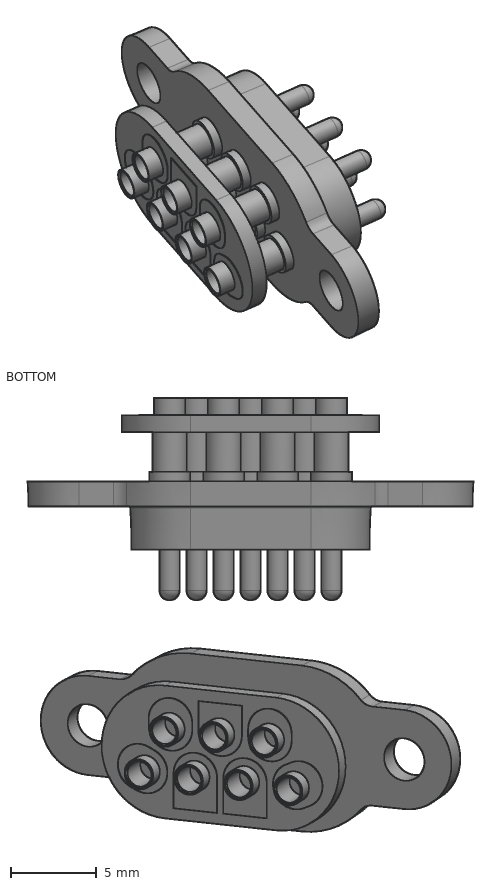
import cadquery as cq
import math


FLANGE_BACK = 1.48
BOSS_BACK = 4.0
TIP_BACK = 6.95
COLLAR_FRONT = -0.55
BOARD_BACK = -2.85
BOARD_THICKNESS = 1.0
BOARD_FRONT = BOARD_BACK - BOARD_THICKNESS
TAIL_FRONT = -4.85

TOTAL_LENGTH = 26
EAR_RADIUS = 3.0
EAR_X = TOTAL_LENGTH / 2 - EAR_RADIUS
SCREW_HOLE_DIAMETER = 2.55
ARC_CENTRE_X = 3.5
FLANGE_HEIGHT = 10.0
FLANGE_RADIUS = FLANGE_HEIGHT / 2
EAR_BLEND_RADIUS = 1.0
BOSS_RADIUS = 3.5
DRAFT = 1.5
EDGE_ROUND = 0.08
ROOT_ROUND = 0.05

BOARD_RADIUS = 4.0

PIN_PITCH = 3.15
BOTTOM_ROW_Z = -1.22
TOP_ROW_Z = BOTTOM_ROW_Z + PIN_PITCH * math.sin(math.radians(60))
TOP_ROW_X = [-PIN_PITCH, 0, PIN_PITCH]
BOTTOM_ROW_X = [-1.5 * PIN_PITCH, -0.5 * PIN_PITCH, 0.5 * PIN_PITCH, 1.5 * PIN_PITCH]
PIN_PLACES = [(x, TOP_ROW_Z) for x in TOP_ROW_X] + [(x, BOTTOM_ROW_Z) for x in BOTTOM_ROW_X]

TIP_RADIUS = 0.6
COLLAR_RADIUS = 1.2
BARREL_DIAMETER = 2.0
BARREL_RADIUS = BARREL_DIAMETER / 2
TAIL_RADIUS = 0.9
CUP_RADIUS = 0.75
CUP_CHAMFER = 0.08
CUP_DEPTH = 2.0

PAD_RADIUS = 1.38
PAD_HEIGHT = 0.035
PAD_STRETCH = 0.42
OUTER_PAD_ANGLE = 25
TOP_PAD_REACH = 1.8
BOTTOM_PAD_REACH = 2.1


def plane_at(y):
    """Sketch plane at station y, with local x along X, local y along Z and its normal toward -Y."""
    return cq.Workplane("XZ", origin=(0, y, 0))


def obround(y, radius):
    """Outline of two half circles around the arc centres joined by straight lines."""
    return plane_at(y).slot2D(2 * (ARC_CENTRE_X + radius), 2 * radius)


def flange_profile():
    """Half circles of the body and the ears, joined by tangent concave blends."""
    blend_z = EAR_RADIUS + EAR_BLEND_RADIUS
    centre_gap = FLANGE_RADIUS + EAR_BLEND_RADIUS
    blend_dx = math.sqrt(centre_gap**2 - blend_z**2)
    blend_x = ARC_CENTRE_X + blend_dx
    join_angle = math.atan2(blend_z, blend_dx)
    join = (
        ARC_CENTRE_X + FLANGE_RADIUS * math.cos(join_angle),
        FLANGE_RADIUS * math.sin(join_angle),
    )
    mid_angle = (math.pi / 2 + join_angle) / 2
    shoulder = (
        ARC_CENTRE_X + FLANGE_RADIUS * math.cos(mid_angle),
        FLANGE_RADIUS * math.sin(mid_angle),
    )
    blend_mid = (
        blend_x - EAR_BLEND_RADIUS * math.cos(mid_angle),
        blend_z - EAR_BLEND_RADIUS * math.sin(mid_angle),
    )

    def at(point, sx, sz):
        """Mirror image of point across the axes whose sign is negative."""
        return (sx * point[0], sz * point[1])

    ear = (blend_x, EAR_RADIUS)
    ear_end = (EAR_X, EAR_RADIUS)
    body = (ARC_CENTRE_X, FLANGE_RADIUS)
    return (
        plane_at(0)
        .moveTo(*at(body, -1, 1))
        .lineTo(*body)
        .threePointArc(shoulder, join)
        .threePointArc(blend_mid, ear)
        .lineTo(*ear_end)
        .threePointArc((EAR_X + EAR_RADIUS, 0), at(ear_end, 1, -1))
        .lineTo(*at(ear, 1, -1))
        .threePointArc(at(blend_mid, 1, -1), at(join, 1, -1))
        .threePointArc(at(shoulder, 1, -1), at(body, 1, -1))
        .lineTo(*at(body, -1, -1))
        .threePointArc(at(shoulder, -1, -1), at(join, -1, -1))
        .threePointArc(at(blend_mid, -1, -1), at(ear, -1, -1))
        .lineTo(*at(ear_end, -1, -1))
        .threePointArc((-EAR_X - EAR_RADIUS, 0), at(ear_end, -1, 1))
        .lineTo(*at(ear, -1, 1))
        .threePointArc(at(blend_mid, -1, 1), at(join, -1, 1))
        .threePointArc(at(shoulder, -1, 1), at(body, -1, 1))
        .close()
    )


def make_pin():
    """Turned pin on the Y axis: round tip, body, collar, barrel and a tail with a solder cup."""
    dome = TIP_RADIUS * math.sqrt(0.5)
    profile = (
        cq.Workplane("XY")
        .moveTo(0, TIP_BACK)
        .threePointArc((dome, TIP_BACK - TIP_RADIUS + dome), (TIP_RADIUS, TIP_BACK - TIP_RADIUS))
        .lineTo(TIP_RADIUS, 0)
        .lineTo(COLLAR_RADIUS, 0)
        .lineTo(COLLAR_RADIUS, COLLAR_FRONT)
        .lineTo(BARREL_RADIUS, COLLAR_FRONT)
        .lineTo(BARREL_RADIUS, BOARD_BACK)
        .lineTo(TAIL_RADIUS, BOARD_BACK)
        .lineTo(TAIL_RADIUS, TAIL_FRONT)
        .lineTo(CUP_RADIUS + CUP_CHAMFER, TAIL_FRONT)
        .lineTo(CUP_RADIUS, TAIL_FRONT + CUP_CHAMFER)
        .lineTo(CUP_RADIUS, TAIL_FRONT + CUP_DEPTH)
        .lineTo(0, TAIL_FRONT + CUP_DEPTH)
        .close()
    )
    return profile.revolve(360, (0, 0, 0), (0, 1, 0))


def make_housing():
    """Flange and boss, both drafted toward +Y, with screw holes in the ears and a bore for each pin."""
    flange = flange_profile().extrude(-FLANGE_BACK, taper=DRAFT).faces(">Y").edges().fillet(EDGE_ROUND)
    boss = obround(FLANGE_BACK, BOSS_RADIUS).extrude(FLANGE_BACK - BOSS_BACK, taper=DRAFT)
    boss = boss.faces(">Y").edges().fillet(EDGE_ROUND)
    root = cq.selectors.BoxSelector(
        (-EAR_X, FLANGE_BACK - ROOT_ROUND / 2, -BOSS_RADIUS - ROOT_ROUND),
        (EAR_X, FLANGE_BACK + ROOT_ROUND / 2, BOSS_RADIUS + ROOT_ROUND),
    )
    housing = flange.union(boss).edges(root).fillet(ROOT_ROUND)
    screws = plane_at(0).pushPoints([(-EAR_X, 0), (EAR_X, 0)]).circle(SCREW_HOLE_DIAMETER / 2)
    pin_holes = plane_at(0).pushPoints(PIN_PLACES).circle(TIP_RADIUS)
    return housing.cut(screws.extrude(-FLANGE_BACK)).cut(pin_holes.extrude(-BOSS_BACK))


def stretched_pad(x, z, angle):
    """Round pad stretched away from the pin in the direction of angle."""
    middle = PAD_STRETCH / 2
    return (
        plane_at(BOARD_FRONT)
        .center(x + middle * math.cos(math.radians(angle)), z + middle * math.sin(math.radians(angle)))
        .slot2D(2 * PAD_RADIUS + PAD_STRETCH, 2 * PAD_RADIUS, angle)
        .extrude(PAD_HEIGHT)
    )


def square_ended_pad(x, z, reach):
    """Pad with a half circle around the pin and a square end at the signed distance reach."""
    bulge = -math.copysign(PAD_RADIUS, reach)
    return (
        plane_at(BOARD_FRONT)
        .moveTo(x - PAD_RADIUS, z)
        .threePointArc((x, z + bulge), (x + PAD_RADIUS, z))
        .lineTo(x + PAD_RADIUS, z + reach)
        .lineTo(x - PAD_RADIUS, z + reach)
        .close()
        .extrude(PAD_HEIGHT)
    )


def make_board():
    """Obround board with one pad around each pin hole."""
    board = obround(BOARD_BACK, BOARD_RADIUS).extrude(BOARD_THICKNESS)
    for x in (TOP_ROW_X[0], TOP_ROW_X[-1]):
        board = board.union(stretched_pad(x, TOP_ROW_Z, 90))
    board = board.union(stretched_pad(BOTTOM_ROW_X[0], BOTTOM_ROW_Z, 180 - OUTER_PAD_ANGLE))
    board = board.union(stretched_pad(BOTTOM_ROW_X[-1], BOTTOM_ROW_Z, OUTER_PAD_ANGLE))
    board = board.union(square_ended_pad(TOP_ROW_X[1], TOP_ROW_Z, TOP_PAD_REACH))
    for x in BOTTOM_ROW_X[1:-1]:
        board = board.union(square_ended_pad(x, BOTTOM_ROW_Z, -BOTTOM_PAD_REACH))
    holes = plane_at(BOARD_BACK).pushPoints(PIN_PLACES).circle(TAIL_RADIUS)
    return board.cut(holes.extrude(BOARD_THICKNESS + PAD_HEIGHT))


housing = make_housing()
board = make_board()
pins = [make_pin().translate((x, 0, z)) for x, z in PIN_PLACES]

result = cq.Compound.makeCompound([housing.val(), board.val(), *[pin.val() for pin in pins]])